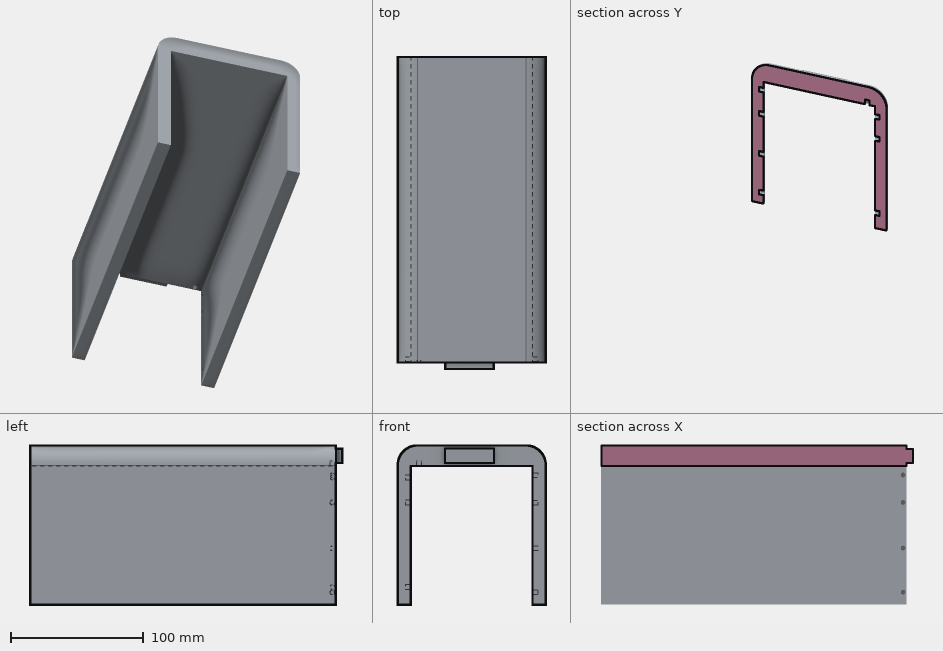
import cadquery as cq

overall_width = 111.6
overall_length = 235.0
overall_height = 120.0

side_wall = 10.0
roof_thickness = 15.7
corner_radius = 15.0
badge_height = 5.0
cover_length = overall_length - badge_height
inner_width = overall_width - 2 * side_wall
inner_height = overall_height - roof_thickness

badge_width = 36.7
badge_depth = 10.8
badge_center_x = -1.6
badge_bottom_z = 106.7

hole_diameter = 3.5
hole_depth = 4.0
hole_setback = 2.5
right_hole_heights = (9.5, 42.5, 76.8, 97.5)
left_hole_heights = (13.5, 77.0, 95.9)
roof_hole_x = -39.7


def make_cover():
    """Rounded block with a full-length channel; the front end lies at Y = 0."""
    block = (
        cq.Workplane("XY")
        .box(overall_width, cover_length, overall_height, centered=(True, False, False))
        .edges("|Y and >Z")
        .fillet(corner_radius)
    )
    channel = cq.Workplane("XY").box(
        inner_width, cover_length, inner_height, centered=(True, False, False)
    )
    return block.cut(channel)


def make_badge():
    """Block standing proud of the front end."""
    return (
        cq.Workplane("XY")
        .box(badge_width, badge_height, badge_depth, centered=(True, False, False))
        .translate((badge_center_x, -badge_height, badge_bottom_z))
    )


def make_hole(start, direction):
    """Cylinder to cut, running from a point on an inner face into the wall."""
    return cq.Workplane(
        cq.Solid.makeCylinder(hole_diameter / 2, hole_depth, cq.Vector(*start), cq.Vector(*direction))
    )


result = make_cover().union(make_badge())

for side, heights in ((1, right_hole_heights), (-1, left_hole_heights)):
    for height in heights:
        wall_point = (side * inner_width / 2, hole_setback, height)
        result = result.cut(make_hole(wall_point, (side, 0, 0)))

roof_point = (roof_hole_x, hole_setback, inner_height)
result = result.cut(make_hole(roof_point, (0, 0, 1)))